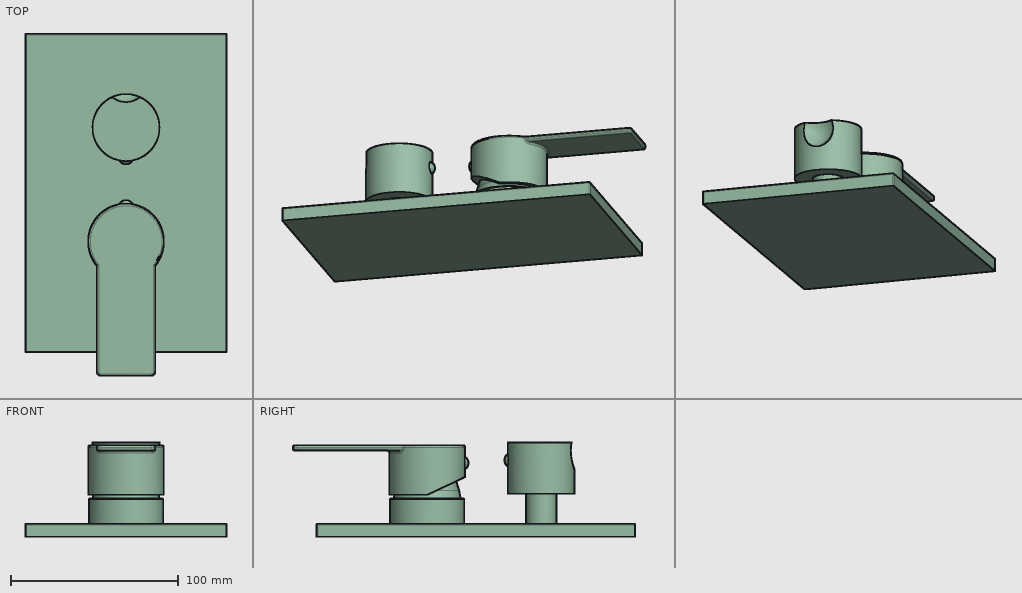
import cadquery as cq
import math

plate_width = 120.0
plate_height = 190.0
plate_thickness = 8.0
plate_edge_radius = 0.6

knob_y = 39.0
stem_radius = 9.2
knob_radius = 20.0
knob_bottom_z = 25.7
knob_top_z = 56.3

dimple_radius = 13.9
dimple_depth = 5.7
dimple_z = 51.5

bead_radius = 3.7
bead_height = 2.0
bead_drop = 10.6

mixer_y = -29.0
collar_radius = 22.2
collar_top_z = 23.0
collar_edge_chamfer = 0.6
neck_base_radius = 20.0
neck_shoulder_radius = 19.2
neck_shoulder_z = 27.7
neck_top_radius = 17.1
neck_top_z = 34.3
drum_radius = 22.6
drum_bottom_z = 25.0
drum_top_z = 54.7
drum_back_z = 35.7

blade_width = 34.9
overall_length = 204.0
blade_end_y = plate_height / 2 - overall_length
blade_thickness = 3.3
blade_corner_radius = 2.5
bottom_edge_radius = 1.2
top_edge_radius = 1.2
blade_root_radius = 1.2
root_margin = 0.2


def cylinder(radius, bottom_z, top_z, y):
    return cq.Workplane("XY", origin=(0, y, bottom_z)).circle(radius).extrude(top_z - bottom_z)


def make_bead(surface_y, z, outward):
    """Sphere set partly into the wall, so that only a cap of bead_height stands out."""
    sphere_radius = (bead_radius**2 + bead_height**2) / (2 * bead_height)
    center_y = surface_y + outward * (bead_height - sphere_radius)
    return cq.Workplane("XY", origin=(0, center_y, z)).sphere(sphere_radius)


def make_plate():
    plate = cq.Workplane("XY").box(plate_width, plate_height, plate_thickness, centered=(True, True, False))
    return plate.edges("|Z or >Z").fillet(plate_edge_radius)


def make_knob():
    stem = cylinder(stem_radius, plate_thickness, knob_bottom_z, knob_y)
    knob = cylinder(knob_radius, knob_bottom_z, knob_top_z, knob_y)
    dimple_y = knob_y + knob_radius - dimple_depth + dimple_radius
    dimple = cq.Workplane("XY", origin=(0, dimple_y, dimple_z)).sphere(dimple_radius)
    bead = make_bead(knob_y - knob_radius, knob_top_z - bead_drop, -1)
    return knob.cut(dimple).union(stem).union(bead)


def make_collar_and_neck():
    collar = cylinder(collar_radius, plate_thickness, collar_top_z, mixer_y)
    collar = collar.faces(">Z").edges().chamfer(collar_edge_chamfer)
    neck = (
        cq.Workplane("XZ", origin=(0, mixer_y, 0))
        .moveTo(0, collar_top_z)
        .lineTo(neck_base_radius, collar_top_z)
        .lineTo(neck_shoulder_radius, neck_shoulder_z)
        .lineTo(neck_top_radius, neck_top_z)
        .lineTo(0, neck_top_z)
        .close()
        .revolve(360, (0, 0, 0), (0, 1, 0))
    )
    return collar.union(neck)


def make_drum():
    drum = cylinder(drum_radius, drum_bottom_z, drum_top_z, mixer_y)
    relief = (
        cq.Workplane("YZ", origin=(-drum_radius, 0, 0))
        .moveTo(mixer_y, drum_bottom_z)
        .lineTo(mixer_y + drum_radius, drum_bottom_z)
        .lineTo(mixer_y + drum_radius, drum_back_z)
        .close()
        .extrude(2 * drum_radius)
    )
    return drum.cut(relief)


def make_blade():
    length = mixer_y - blade_end_y
    blade = cq.Workplane("XY", origin=(0, blade_end_y, drum_top_z - blade_thickness)).box(
        blade_width, length, blade_thickness, centered=(True, False, False)
    )
    blade = blade.edges("|Z and <Y").fillet(blade_corner_radius)
    return blade.faces("<Z").edges("not >Y").fillet(bottom_edge_radius)


def make_lever():
    """Drum and blade, with the joint between them rounded before the shared top outline."""
    lever = make_drum().union(make_blade())
    root_reach_y = math.sqrt(drum_radius**2 - (blade_width / 2) ** 2)
    root_box = cq.selectors.BoxSelector(
        (-drum_radius, mixer_y - drum_radius - root_margin, drum_top_z - blade_thickness - root_margin),
        (drum_radius, mixer_y - root_reach_y + root_margin, drum_top_z + root_margin),
        boundingbox=True,
    )
    lever = lever.edges(root_box).fillet(blade_root_radius)
    return lever.faces(">Z").edges().fillet(top_edge_radius)


def make_mixer():
    bead = make_bead(mixer_y + drum_radius, drum_top_z - bead_drop, 1)
    return make_collar_and_neck().union(make_lever()).union(bead)


plate = make_plate()
knob = make_knob()
mixer = make_mixer()
result = cq.Compound.makeCompound([plate.val(), knob.val(), mixer.val()])